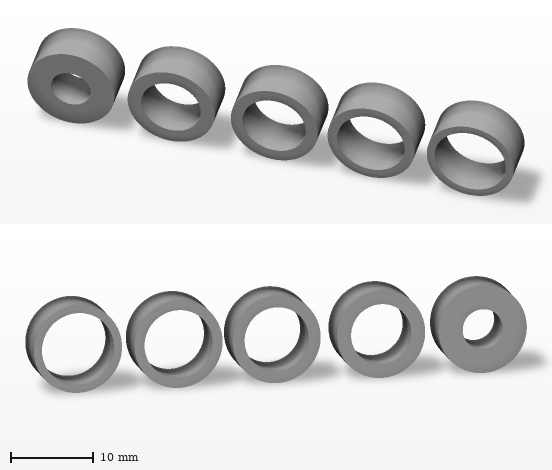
import cadquery as cq

OUTER_DIAMETER = 11.0
RING_WIDTH = 5.0
ROW_LENGTH = 61.45

LAST_OFFSET = ROW_LENGTH - OUTER_DIAMETER
AXIS_OFFSETS = [0.0, 12.65, 25.7, 37.9, LAST_OFFSET]
BORE_DIAMETERS = [5.0, 7.5, 8.0, 8.5, 9.0]


def spacer_ring(axis_x, bore_diameter):
    """Plain ring centred on Y = 0, with its axis parallel to Y at the given X."""
    return (
        cq.Workplane("XZ", origin=(axis_x, RING_WIDTH / 2, 0))
        .circle(OUTER_DIAMETER / 2)
        .circle(bore_diameter / 2)
        .extrude(RING_WIDTH)
    )


spacer_rings = []
for offset, bore in zip(AXIS_OFFSETS, BORE_DIAMETERS):
    spacer_rings.append(spacer_ring(offset - LAST_OFFSET / 2, bore).val())

result = cq.Compound.makeCompound(spacer_rings)